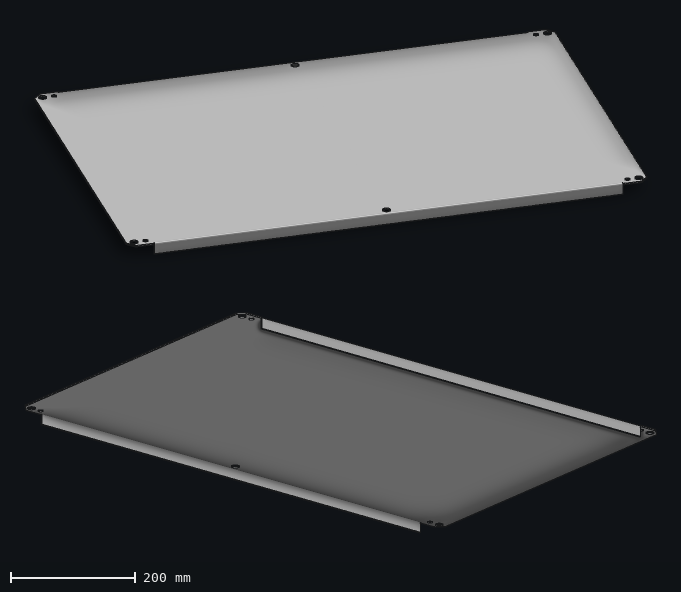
import cadquery as cq

width = 563.88
length = 868.68
height = 19.66
thickness = 2.66
corner_chamfer = 12.7

flange_length = 782.0
inner_bend_radius = 0.254
outer_bend_radius = inner_bend_radius + thickness

hole_column_spacing = 537.5
mounting_hole_diameter = 12.7
mounting_hole_rows = 3
mounting_hole_pitch = 421.0
small_hole_diameter = 7.94
small_hole_rows = 2
small_hole_pitch = 804.0


def make_flat_panel():
    """Flat sheet with chamfered corners."""
    sheet = cq.Workplane("XY").rect(width, length).extrude(-thickness)
    return sheet.edges("|Z").chamfer(corner_chamfer)


def make_rounded_bar(bar_width, top_z, bend_radius):
    """Bar reaching from top_z down to the flange rims, its two upper long edges rounded."""
    bar_height = height + top_z
    bar = (
        cq.Workplane("XY")
        .workplane(offset=-height)
        .rect(bar_width, flange_length)
        .extrude(bar_height)
    )
    return bar.edges("|Y and >Z").fillet(bend_radius)


def make_folded_section():
    """Channel open downward: the middle of the panel with its bends and flanges."""
    outside = make_rounded_bar(width, 0, outer_bend_radius)
    inside = make_rounded_bar(width - 2 * thickness, -thickness, inner_bend_radius)
    return outside.cut(inside)


def make_end_strips():
    """Flat parts of the panel beyond the ends of the flanges."""
    middle = cq.Workplane("XY").rect(width, flange_length).extrude(-thickness)
    return make_flat_panel().cut(middle)


def make_hole_cutters(diameter, rows, pitch):
    """Two columns of cylinders that pass through the sheet."""
    return (
        cq.Workplane("XY")
        .rarray(hole_column_spacing, pitch, 2, rows)
        .circle(diameter / 2)
        .extrude(-thickness)
    )


result = (
    make_folded_section()
    .union(make_end_strips())
    .cut(make_hole_cutters(mounting_hole_diameter, mounting_hole_rows, mounting_hole_pitch))
    .cut(make_hole_cutters(small_hole_diameter, small_hole_rows, small_hole_pitch))
)